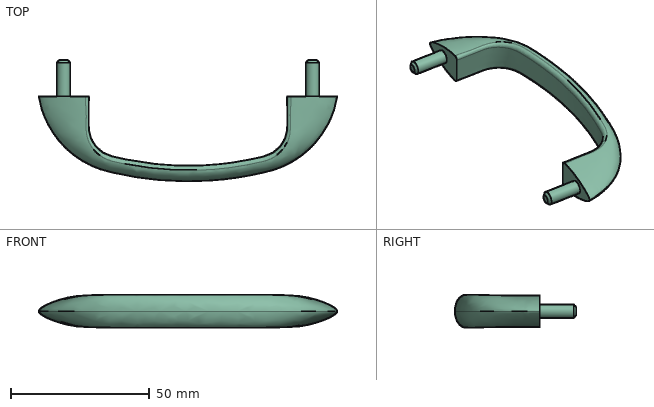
import cadquery as cq
import math

LENGTH = 108.0
BOW_DEPTH = 30.8
INNER_SPAN = 71.7
GRIP_WIDTH = 5.7
GRIP_OUTER_RADIUS = 118.8
BLEND_RADIUS = 10.8

HEIGHTS = (11.5, 12.0)
CORNER_RADII = (1.1, 1.6)
FLANK_REACHES = (0.45, 0.55)
NOSE_BLUNTNESSES = (0.32, 0.6)

PIN_DIAMETER = 5.0
PIN_LENGTH = 13.2
PIN_CHAMFER = 1.0
PIN_SPACING = 90.1

LEG_STEPS = 2
BLEND_STEPS = 4
GRIP_STEPS = 4

half_length = LENGTH / 2
half_span = INNER_SPAN / 2
bow_center_y = GRIP_OUTER_RADIUS - BOW_DEPTH
grip_inner_radius = GRIP_OUTER_RADIUS - GRIP_WIDTH

blend_x = half_span - BLEND_RADIUS
blend_center_distance = grip_inner_radius - BLEND_RADIUS
blend_y = bow_center_y - math.sqrt(blend_center_distance**2 - blend_x**2)
bow_angle = math.asin(blend_x / blend_center_distance)

tangent_x = GRIP_OUTER_RADIUS * math.sin(bow_angle)
tangent_y = bow_center_y - GRIP_OUTER_RADIUS * math.cos(bow_angle)
tip_dx = half_length - tangent_x
tip_dy = -tangent_y
side_radius = (tip_dx**2 + tip_dy**2) / (
    2 * (tip_dy * math.cos(bow_angle) - tip_dx * math.sin(bow_angle))
)
side_x = tangent_x - side_radius * math.sin(bow_angle)
side_y = tangent_y + side_radius * math.cos(bow_angle)


def width_to_side_arc(x, y, angle):
    """Distance from (x, y) to the outer side arc, in the direction at this angle from -Y."""
    from_center_x = x - side_x
    from_center_y = y - side_y
    along = from_center_x * math.sin(angle) - from_center_y * math.cos(angle)
    offset_squared = from_center_x**2 + from_center_y**2
    return -along + math.sqrt(along**2 - offset_squared + side_radius**2)


def between(foot_and_grip, share):
    foot, grip = foot_and_grip
    return foot + (grip - foot) * share


def section(x, y, angle, width, grip_share):
    """Closed section with a flat inner face at (x, y), two round corners and a curved nose."""
    half_height = between(HEIGHTS, grip_share) / 2
    corner = between(CORNER_RADII, grip_share)
    level_end = corner + between(FLANK_REACHES, grip_share) * (width - corner)
    nose_height = between(NOSE_BLUNTNESSES, grip_share) * half_height
    corner_mid = corner * (1 - math.sqrt(0.5))

    def point(outward, z):
        return cq.Vector(x + outward * math.sin(angle), y - outward * math.cos(angle), z)

    nose = point(width, 0)
    face_low = point(0, corner - half_height)
    face_high = point(0, half_height - corner)
    flank_high = point(corner, half_height)
    flank_low = point(corner, -half_height)
    return cq.Wire.assembleEdges([
        cq.Edge.makeLine(face_low, face_high),
        cq.Edge.makeThreePointArc(face_high, point(corner_mid, half_height - corner_mid), flank_high),
        cq.Edge.makeBezier([flank_high, point(level_end, half_height), point(width, nose_height), nose]),
        cq.Edge.makeBezier([nose, point(width, -nose_height), point(level_end, -half_height), flank_low]),
        cq.Edge.makeThreePointArc(flank_low, point(corner_mid, corner_mid - half_height), face_low),
    ])


def half_stations():
    """Section places (x, y, angle, width, grip share) from the +X seat to just before X = 0."""
    stations = []
    right_angle = math.pi / 2
    for step in range(LEG_STEPS):
        y = blend_y * step / LEG_STEPS
        stations.append((half_span, y, right_angle, width_to_side_arc(half_span, y, right_angle), 0))
    for step in range(BLEND_STEPS + 1):
        share = step / BLEND_STEPS
        angle = right_angle + (bow_angle - right_angle) * share
        x = blend_x + BLEND_RADIUS * math.sin(angle)
        y = blend_y - BLEND_RADIUS * math.cos(angle)
        stations.append((x, y, angle, width_to_side_arc(x, y, angle), share))
    for step in range(1, GRIP_STEPS):
        angle = bow_angle * (1 - step / GRIP_STEPS)
        x = grip_inner_radius * math.sin(angle)
        y = bow_center_y - grip_inner_radius * math.cos(angle)
        stations.append((x, y, angle, GRIP_WIDTH, 1))
    return stations


def make_handle():
    right_half = half_stations()
    middle = (0, bow_center_y - grip_inner_radius, 0, GRIP_WIDTH, 1)
    left_half = [(-x, y, -angle, width, share) for x, y, angle, width, share in reversed(right_half)]
    stations = right_half + [middle] + left_half
    return cq.Solid.makeLoft([section(*station) for station in stations])


def make_pin(x):
    """Round pin standing on a seat, chamfered at its free end."""
    return (
        cq.Workplane("XZ", origin=(x, 0, 0))
        .circle(PIN_DIAMETER / 2)
        .extrude(-PIN_LENGTH)
        .faces(">Y")
        .chamfer(PIN_CHAMFER)
    )


handle = make_handle()
pins = [make_pin(side * PIN_SPACING / 2) for side in (-1, 1)]

result = cq.Compound.makeCompound([handle, *[pin.val() for pin in pins]])